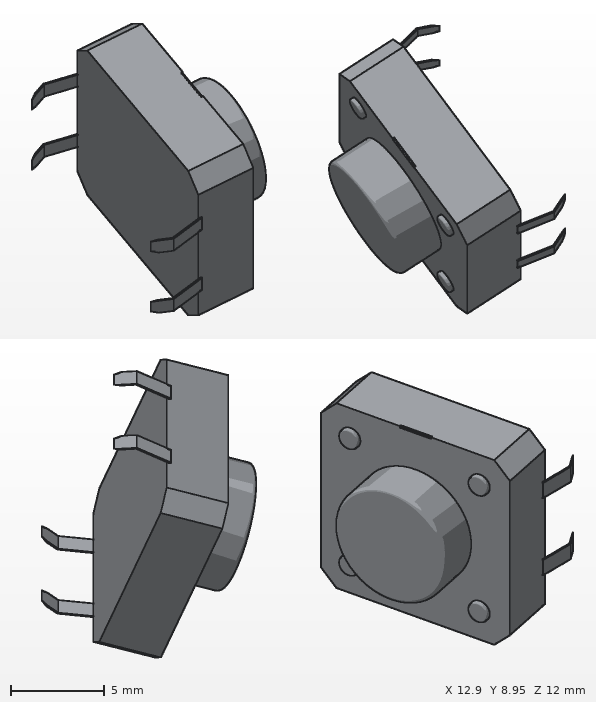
import cadquery as cq

BODY_SIDE = 12.0
BODY_DEPTH = 3.5
CORNER_CHAMFER = 1.0

NOTCH_WIDTH = 2.0
NOTCH_DEPTH = 0.1

STUD_DIAMETER = 1.25
STUD_HEIGHT = 0.26
STUD_FILLET = 0.1
STUD_OFFSET = 4.1

BUTTON_DIAMETER = 7.1
BUTTON_HEIGHT = 2.5
BUTTON_FILLET = 0.25

PIN_WIDTH = 1.0
PIN_TIP_WIDTH = 0.79
PIN_THICKNESS = 0.09
PIN_OFFSET = 2.5
PIN_ROOT_X = 6.03
PIN_ROOT_Y = 0.23
PIN_BEND_X = 6.45
PIN_BEND_Y = -1.86
PIN_TAPER_X = 6.13
PIN_TAPER_Y = -2.61
PIN_TIP_X = 5.9
PIN_TIP_Y = -2.95
PIN_TIP_THICKNESS = 0.01


def chamfered_block():
    """Square block with chamfered corners and its mounting face at Y = 0."""
    return (
        cq.Workplane("XZ")
        .rect(BODY_SIDE, BODY_SIDE)
        .extrude(-BODY_DEPTH)
        .edges("|Y")
        .chamfer(CORNER_CHAMFER)
    )


def rounded_disc(x, z, diameter, height, fillet):
    """Disc standing on the rear face of the body, with a rounded rim."""
    return (
        cq.Workplane("XZ", origin=(x, BODY_DEPTH, z))
        .circle(diameter / 2)
        .extrude(-height)
        .faces(">Y")
        .edges()
        .fillet(fillet)
    )


def make_pin(side, z):
    """Bent strip with a tapered tip; side is +1 or -1 along X."""
    profile = [
        (PIN_ROOT_X, PIN_ROOT_Y),
        (PIN_BEND_X, PIN_BEND_Y),
        (PIN_TAPER_X, PIN_TAPER_Y),
        (PIN_TIP_X, PIN_TIP_Y),
        (PIN_TIP_X - PIN_TIP_THICKNESS, PIN_TIP_Y),
        (PIN_BEND_X - PIN_THICKNESS, PIN_BEND_Y),
        (PIN_ROOT_X - PIN_THICKNESS, PIN_ROOT_Y),
    ]
    strip = (
        cq.Workplane("XY", origin=(0, 0, z))
        .polyline([(side * x, y) for x, y in profile])
        .close()
        .extrude(PIN_WIDTH / 2, both=True)
    )
    outline = (
        cq.Workplane("YZ", origin=(0, 0, z))
        .polyline([
            (PIN_ROOT_Y, -PIN_WIDTH / 2),
            (PIN_ROOT_Y, PIN_WIDTH / 2),
            (PIN_TAPER_Y, PIN_WIDTH / 2),
            (PIN_TIP_Y, PIN_TIP_WIDTH / 2),
            (PIN_TIP_Y, -PIN_TIP_WIDTH / 2),
            (PIN_TAPER_Y, -PIN_WIDTH / 2),
        ])
        .close()
        .extrude(PIN_BEND_X, both=True)
    )
    return strip.intersect(outline)


def make_housing():
    """Main block with the four studs and the edge notch."""
    block = chamfered_block()
    notch = cq.Workplane("XY").box(NOTCH_WIDTH, 2 * NOTCH_DEPTH, 2 * NOTCH_DEPTH)
    block = block.cut(notch.translate((0, BODY_DEPTH, BODY_SIDE / 2)))
    for x in (-STUD_OFFSET, STUD_OFFSET):
        for z in (-STUD_OFFSET, STUD_OFFSET):
            block = block.union(rounded_disc(x, z, STUD_DIAMETER, STUD_HEIGHT, STUD_FILLET))
    return block


housing = make_housing()
button = rounded_disc(0, 0, BUTTON_DIAMETER, BUTTON_HEIGHT, BUTTON_FILLET)
pins = [make_pin(side, z) for side in (-1, 1) for z in (-PIN_OFFSET, PIN_OFFSET)]

for pin in pins:
    housing = housing.cut(pin)

result = cq.Compound.makeCompound(
    [housing.val(), button.val(), *[pin.val() for pin in pins]]
)